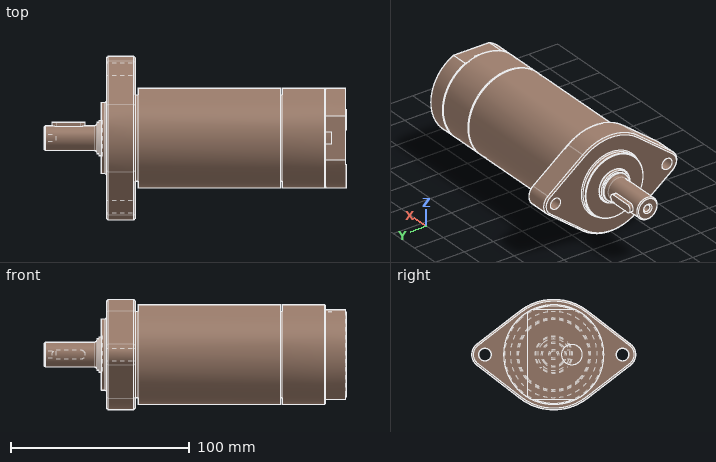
import cadquery as cq
import math

total_length = 169.2
shaft_fillet_start = 28.1
spigot_start = 31.8
flange_start = 34.9
flange_end = 51.1
body_start = 52.6
ring_gap_start = 132.3
ring_gap_end = 133.2
cap_start = 157.5
rear_pad_height = 0.5
cap_end = total_length - rear_pad_height

shaft_diameter = 14.0
collar_small_diameter = 17.8
collar_large_diameter = 20.0
recess_diameter = 21.0
spigot_diameter = 40.0
neck_diameter = 48.4
body_diameter = 56.0

shaft_chamfer = 0.7
shaft_fillet = 1.5
collar_step = 1.0
recess_depth = 0.8
spigot_chamfer = 0.3
spigot_root = 0.7
centre_hole_diameter = 4.0
centre_mouth_diameter = 5.8
centre_hole_depth = 6.8
key_start = 4.4
key_length = 18.6
key_width = 5.0
key_top = 9.0
key_bottom = 3.4

flange_height = 62.0
flange_width = 91.9
mounting_hole_pitch = 77.0
mounting_hole_offset = mounting_hole_pitch / 2
flange_lobe_radius = (flange_width - mounting_hole_pitch) / 2
mounting_hole_diameter = 7.0
flange_chamfer = 1.0

ring_chamfer = 0.7
flat_to_flat = 50.3
flat_notch_length = 3.4
flat_notch_width = 6.8
rear_boss_diameter = 11.5
rear_boss_offset = 10.2
rear_pad_edge = 14.7


def cylinder(diameter, start, end):
    """Solid cylinder on the X axis between two stations."""
    return cq.Workplane("YZ", origin=(start, 0, 0)).circle(diameter / 2).extrude(end - start)


def make_shaft():
    """Chamfered shaft that flares through a fillet into two stepped collars."""
    radius = shaft_diameter / 2
    fillet_end = shaft_fillet_start + shaft_fillet
    fillet_mid = shaft_fillet * math.sqrt(0.5)
    collar_end = fillet_end + collar_step
    return (
        cq.Workplane("XY")
        .moveTo(0, 0)
        .lineTo(0, radius - shaft_chamfer)
        .lineTo(shaft_chamfer, radius)
        .lineTo(shaft_fillet_start, radius)
        .threePointArc(
            (shaft_fillet_start + fillet_mid, radius + shaft_fillet - fillet_mid),
            (fillet_end, radius + shaft_fillet),
        )
        .lineTo(fillet_end, collar_small_diameter / 2)
        .lineTo(collar_end, collar_small_diameter / 2)
        .lineTo(collar_end, collar_large_diameter / 2)
        .lineTo(flange_start, collar_large_diameter / 2)
        .lineTo(flange_start, 0)
        .close()
        .revolve(360, (0, 0, 0), (1, 0, 0))
    )


def make_key():
    """Round-ended key standing out of the +Y side of the shaft."""
    return (
        cq.Workplane("XZ", origin=(key_start + key_length / 2, key_bottom, 0))
        .slot2D(key_length, key_width)
        .extrude(key_bottom - key_top)
    )


def make_centre_hole():
    """Blind centre hole in the shaft tip with a countersunk mouth."""
    mouth_depth = (centre_mouth_diameter - centre_hole_diameter) / 2
    return (
        cq.Workplane("XY")
        .moveTo(0, 0)
        .lineTo(0, centre_mouth_diameter / 2)
        .lineTo(mouth_depth, centre_hole_diameter / 2)
        .lineTo(centre_hole_depth, centre_hole_diameter / 2)
        .lineTo(centre_hole_depth, 0)
        .close()
        .revolve(360, (0, 0, 0), (1, 0, 0))
    )


def make_flange():
    """Diamond flange: a central arc joined by tangent lines to a lobe around each mounting hole."""
    main_radius = flange_height / 2
    across = (main_radius - flange_lobe_radius) / mounting_hole_offset
    along = math.sqrt(1 - across**2)
    main_y = main_radius * across
    main_z = main_radius * along
    lobe_y = mounting_hole_offset + flange_lobe_radius * across
    lobe_z = flange_lobe_radius * along
    tip_y = flange_width / 2
    plate = (
        cq.Workplane("YZ", origin=(flange_start, 0, 0))
        .moveTo(-main_y, main_z)
        .threePointArc((0, main_radius), (main_y, main_z))
        .lineTo(lobe_y, lobe_z)
        .threePointArc((tip_y, 0), (lobe_y, -lobe_z))
        .lineTo(main_y, -main_z)
        .threePointArc((0, -main_radius), (-main_y, -main_z))
        .lineTo(-lobe_y, -lobe_z)
        .threePointArc((-tip_y, 0), (-lobe_y, lobe_z))
        .close()
        .extrude(flange_end - flange_start)
        .faces("<X or >X")
        .chamfer(flange_chamfer)
    )
    holes = (
        cq.Workplane("YZ", origin=(flange_start, 0, 0))
        .pushPoints([(-mounting_hole_offset, 0), (mounting_hole_offset, 0)])
        .circle(mounting_hole_diameter / 2)
        .extrude(flange_end - flange_start)
    )
    return plate.cut(holes)


def make_spigot():
    """Locating spigot with a chamfered rim, a conical root and a recess around the shaft collar."""
    radius = spigot_diameter / 2
    recess = cylinder(recess_diameter, spigot_start, spigot_start + recess_depth)
    return (
        cq.Workplane("XY")
        .moveTo(spigot_start, 0)
        .lineTo(spigot_start, radius - spigot_chamfer)
        .lineTo(spigot_start + spigot_chamfer, radius)
        .lineTo(flange_start - spigot_root, radius)
        .lineTo(flange_start, radius + spigot_root)
        .lineTo(flange_start, 0)
        .close()
        .revolve(360, (0, 0, 0), (1, 0, 0))
        .cut(recess)
    )


def make_housing():
    """Main body and rear ring, set apart by necks; the ring is chamfered where it meets the cap."""
    core = cylinder(neck_diameter, flange_end, ring_gap_end)
    body = cylinder(body_diameter, body_start, ring_gap_start)
    ring = cylinder(body_diameter, ring_gap_end, cap_start).faces(">X").chamfer(ring_chamfer)
    return core.union(body).union(ring)


def make_cap():
    """Rear cap with flats above and below, a notch in the top flat and low pads on its end."""
    raised = cylinder(body_diameter, cap_end, total_length)
    segment = (
        cq.Workplane("XY")
        .box(total_length, body_diameter, body_diameter, centered=(False, False, True))
        .translate((0, -rear_pad_edge - body_diameter, 0))
    )
    boss = cylinder(rear_boss_diameter, cap_end, total_length).translate((0, rear_boss_offset, 0))
    between_flats = (
        cq.Workplane("XY", origin=(cap_start, 0, 0))
        .box(total_length, body_diameter, flat_to_flat, centered=(False, True, True))
    )
    notch = (
        cq.Workplane("XY", origin=(cap_start, 0, 0))
        .box(flat_notch_length, flat_notch_width, body_diameter, centered=(False, True, False))
        .cut(cylinder(neck_diameter, cap_start, cap_end))
    )
    return (
        cylinder(body_diameter, cap_start, cap_end)
        .union(raised.intersect(segment))
        .intersect(between_flats)
        .union(boss)
        .cut(notch)
    )


result = (
    make_shaft()
    .union(make_key())
    .union(make_spigot())
    .union(make_flange())
    .union(make_housing())
    .union(make_cap())
    .cut(make_centre_hole())
)